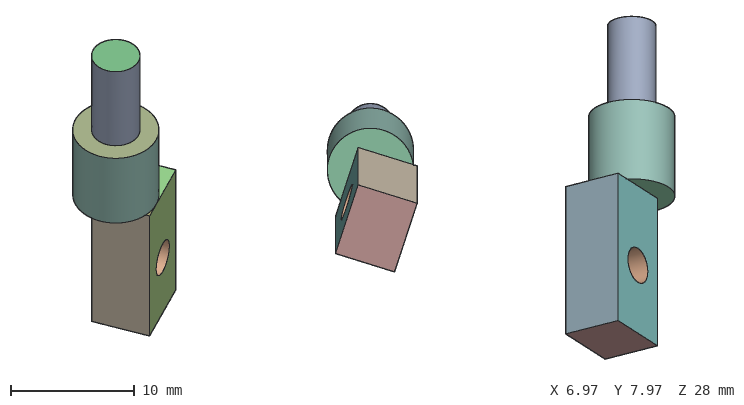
import cadquery as cq

total_height = 28.0

pin_diameter = 3.92
pin_height = 8.0
collar_diameter = 6.97
collar_height = 7.0
collar_radius = collar_diameter / 2

block_width = 5.0
block_depth = 6.0
block_height = total_height - pin_height - collar_height
back_overhang = 1.0

hole_diameter = 3.0
hole_height = 6.0

block_center_x = collar_radius - block_width / 2
block_center_y = collar_radius + back_overhang - block_depth / 2


def make_block():
    """Block standing on Z = 0, with its cross hole centred in Y."""
    block = (
        cq.Workplane("XY")
        .center(block_center_x, block_center_y)
        .rect(block_width, block_depth)
        .extrude(block_height)
    )
    hole = (
        cq.Workplane("YZ", origin=(block_center_x, block_center_y, hole_height))
        .circle(hole_diameter / 2)
        .extrude(block_width, both=True)
    )
    return block.cut(hole)


def make_cylinder(diameter, height, base_height):
    """Upright cylinder on the pin axis."""
    return cq.Workplane("XY", origin=(0, 0, base_height)).circle(diameter / 2).extrude(height)


collar = make_cylinder(collar_diameter, collar_height, block_height)
pin = make_cylinder(pin_diameter, pin_height, block_height + collar_height)

result = make_block().union(collar).union(pin)